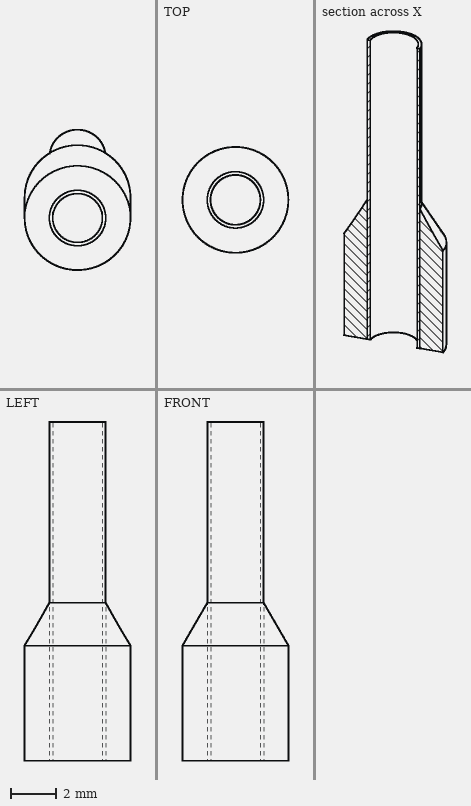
import cadquery as cq

total_length = 15.0

tube_outer_diameter = 2.5
tube_bore_diameter = 2.2

collar_diameter = 4.7
collar_straight_length = 5.1
collar_cone_length = 1.9
collar_length = collar_straight_length + collar_cone_length


def make_tube():
    """Straight tube, open at both ends, running the full length of the ferrule."""
    return (
        cq.Workplane("XY")
        .circle(tube_outer_diameter / 2)
        .circle(tube_bore_diameter / 2)
        .extrude(total_length)
    )


def make_collar():
    """Sleeve fitted on the tube, tapering at its top down to the tube's outer surface."""
    outer_radius = collar_diameter / 2
    inner_radius = tube_outer_diameter / 2
    half_section = (
        cq.Workplane("XZ")
        .moveTo(inner_radius, 0)
        .lineTo(outer_radius, 0)
        .lineTo(outer_radius, collar_straight_length)
        .lineTo(inner_radius, collar_length)
        .close()
    )
    return half_section.revolve(360, (0, 0, 0), (0, 1, 0))


tube = make_tube()
collar = make_collar()

result = cq.Compound.makeCompound([tube.val(), collar.val()])